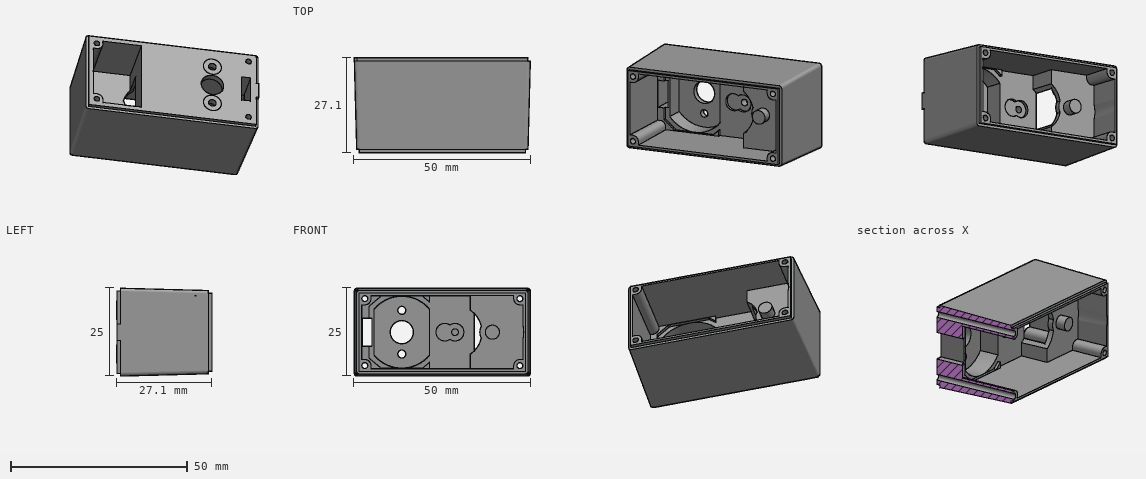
import cadquery as cq
import math

BACK_LENGTH = 50.0
BACK_HEIGHT = 25.0
BODY_DEPTH = 25.0
BODY_DRAFT = 1.5
EDGE_RADIUS = 0.9
SHRINK = BODY_DEPTH * math.tan(math.radians(BODY_DRAFT))
FRONT_LENGTH = BACK_LENGTH - 2 * SHRINK
FRONT_HEIGHT = BACK_HEIGHT - 2 * SHRINK

RIM_INSET = 0.75
RIM_DEPTH = 1.0
FRONT_Y = -RIM_DEPTH
BACK_Y = BODY_DEPTH + RIM_DEPTH
TAB_HEIGHT = 4.7

WALL = 1.4
CAVITY_DRAFT = 0.5
CAVITY_LENGTH = FRONT_LENGTH - 2 * WALL
CAVITY_HEIGHT = FRONT_HEIGHT - 2 * WALL
FLOOR_Y = 17.9

SCREW_X = 22.0
SCREW_Z = 9.5
SCREW_DIAMETER = 1.6
COLUMN_RADIUS = 1.75

PLATFORM_X = 7.95
PLATFORM_Y = 9.0
PLATFORM_THICKNESS = 1.6
PLATFORM_SIDE_WALL = 1.15
CHAMBER_X = PLATFORM_X + PLATFORM_SIDE_WALL
CHAMBER_END_X = 23.0
CHAMBER_HEIGHT = 21.0

POST_X = 14.2
POST_DIAMETER = 4.0
POST_HEIGHT = 3.0
POST_GEAR_RADIUS = 8.9
POST_HUB_RADIUS = 3.6

GEAR_X = 3.6
GEAR_RADIUS = 7.6
SEAT_DIAMETER = 5.0
SECOND_SEAT_X = 0.7
SEAT_DEPTH = 1.0
AXLE_DIAMETER = 1.9
AXLE_DEPTH = 3.0

MOTOR_X = -11.5
LEDGE_Y = 17.0
LEDGE_END_X = -3.6
OCTAGON_HALF_LENGTH = 9.3
OCTAGON_HALF_HEIGHT = 10.2
OCTAGON_CORNER_X = 3.4
OCTAGON_CORNER_Z = 2.85
MOTOR_RADIUS = 10.25
MOTOR_WIDTH = 2 * (LEDGE_END_X - MOTOR_X)
MOTOR_FLOOR_Y = 24.0
SHAFT_DIAMETER = 6.5
MOTOR_SCREW_DIAMETER = 2.2
MOTOR_SCREW_Z = 6.2
PAD_DIAMETER = 5.2
PAD_HEIGHT = 0.05

SLOT_X = -21.3
SLOT_LENGTH = 2.6
SLOT_HEIGHT = 7.9


def section_at(y):
    """Sketch plane facing +Y; local x is X and local y is -Z (the part is symmetric in Z)."""
    return cq.Workplane(cq.Plane(origin=(0, y, 0), xDir=(1, 0, 0), normal=(0, 1, 0)))


def block(x_start, x_end, height, y_start, y_end):
    """Box centred on Z = 0."""
    center = (x_start + x_end) / 2
    return section_at(y_start).center(center, 0).rect(x_end - x_start, height).extrude(y_end - y_start)


def cylinder(x, z, diameter, y_start, y_end):
    return section_at(y_start).center(x, -z).circle(diameter / 2).extrude(y_end - y_start)


def make_body():
    body = section_at(BODY_DEPTH).rect(BACK_LENGTH, BACK_HEIGHT).workplane(offset=-BODY_DEPTH)
    body = body.rect(FRONT_LENGTH, FRONT_HEIGHT).loft(ruled=True)
    body = body.edges("not #Y").fillet(EDGE_RADIUS)

    front_half = FRONT_LENGTH / 2 - RIM_INSET
    back_half = BACK_LENGTH / 2 - RIM_INSET
    front_rim = block(-front_half, front_half, FRONT_HEIGHT - 2 * RIM_INSET, FRONT_Y, 0)
    back_rim = block(-back_half, back_half, BACK_HEIGHT - 2 * RIM_INSET, BODY_DEPTH, BACK_Y)
    tab = block(-BACK_LENGTH / 2, 0, TAB_HEIGHT, BODY_DEPTH, BACK_Y)
    return body.union(front_rim).union(back_rim).union(tab)


def corner_columns():
    """Quarter-round columns that fill the cavity corners around the screw holes."""
    reach_x = BACK_LENGTH / 2 - SCREW_X
    reach_z = BACK_HEIGHT / 2 - SCREW_Z
    column = (
        section_at(FRONT_Y)
        .moveTo(SCREW_X - COLUMN_RADIUS, SCREW_Z + reach_z)
        .lineTo(SCREW_X - COLUMN_RADIUS, SCREW_Z)
        .radiusArc((SCREW_X, SCREW_Z - COLUMN_RADIUS), -COLUMN_RADIUS)
        .lineTo(SCREW_X + reach_x, SCREW_Z - COLUMN_RADIUS)
        .lineTo(SCREW_X + reach_x, SCREW_Z + reach_z)
        .close()
        .extrude(BACK_Y - FRONT_Y)
    )
    pair = column.union(column.mirror("YZ"))
    return pair.union(pair.mirror("XY"))


def make_platform():
    """Solid platform with its -X face drafted like the cavity walls."""
    root_x = PLATFORM_X - (FLOOR_Y - PLATFORM_Y) * math.tan(math.radians(CAVITY_DRAFT))
    outline = [
        (PLATFORM_X, PLATFORM_Y),
        (BACK_LENGTH / 2, PLATFORM_Y),
        (BACK_LENGTH / 2, FLOOR_Y),
        (root_x, FLOOR_Y),
    ]
    return cq.Workplane("XY").polyline(outline).close().extrude(BACK_HEIGHT / 2, both=True)


def make_ledge():
    """Floor step around the octagonal motor recess."""
    ledge = block(-BACK_LENGTH / 2, LEDGE_END_X, BACK_HEIGHT, LEDGE_Y, FLOOR_Y)
    inner_x = OCTAGON_HALF_LENGTH - OCTAGON_CORNER_X
    inner_z = OCTAGON_HALF_HEIGHT - OCTAGON_CORNER_Z
    octagon = [
        (-OCTAGON_HALF_LENGTH, -inner_z),
        (-inner_x, -OCTAGON_HALF_HEIGHT),
        (inner_x, -OCTAGON_HALF_HEIGHT),
        (OCTAGON_HALF_LENGTH, -inner_z),
        (OCTAGON_HALF_LENGTH, inner_z),
        (inner_x, OCTAGON_HALF_HEIGHT),
        (-inner_x, OCTAGON_HALF_HEIGHT),
        (-OCTAGON_HALF_LENGTH, inner_z),
    ]
    recess = section_at(LEDGE_Y).center(MOTOR_X, 0).polyline(octagon).close()
    recess = recess.extrude(FLOOR_Y - LEDGE_Y)
    return ledge.cut(recess)


def make_front_cavity(columns):
    cavity = section_at(FRONT_Y).rect(CAVITY_LENGTH, CAVITY_HEIGHT)
    cavity = cavity.extrude(FLOOR_Y - FRONT_Y, taper=CAVITY_DRAFT)
    groove = cylinder(POST_X, 0, 2 * POST_GEAR_RADIUS, FRONT_Y, PLATFORM_Y)
    return cavity.union(groove).cut(make_platform()).cut(make_ledge()).cut(columns)


def make_rear_chamber(columns):
    chamber_y = PLATFORM_Y + PLATFORM_THICKNESS
    return block(CHAMBER_X, CHAMBER_END_X, CHAMBER_HEIGHT, chamber_y, BACK_Y).cut(columns)


def make_gear_notch():
    """Clearance through the platform, leaving a round hub of material around the post."""
    notch = cylinder(GEAR_X, 0, 2 * GEAR_RADIUS, PLATFORM_Y, FLOOR_Y)
    return notch.cut(cylinder(POST_X, 0, 2 * POST_HUB_RADIUS, PLATFORM_Y, FLOOR_Y))


def make_gear_seat():
    seat = cylinder(GEAR_X, 0, SEAT_DIAMETER, FLOOR_Y, FLOOR_Y + SEAT_DEPTH)
    seat = seat.union(cylinder(SECOND_SEAT_X, 0, SEAT_DIAMETER, FLOOR_Y, FLOOR_Y + SEAT_DEPTH))
    return seat.union(cylinder(GEAR_X, 0, AXLE_DIAMETER, FLOOR_Y, FLOOR_Y + SEAT_DEPTH + AXLE_DEPTH))


def make_motor_recess():
    outline = section_at(FLOOR_Y).center(MOTOR_X, 0)
    width = outline.rect(MOTOR_WIDTH, BACK_HEIGHT).extrude(MOTOR_FLOOR_Y - FLOOR_Y, taper=CAVITY_DRAFT)
    disc = outline.circle(MOTOR_RADIUS).extrude(MOTOR_FLOOR_Y - FLOOR_Y, taper=CAVITY_DRAFT)
    return disc.intersect(width)


columns = corner_columns()
result = make_body()
result = result.cut(make_front_cavity(columns))
result = result.cut(make_rear_chamber(columns))
result = result.cut(make_gear_notch())
result = result.cut(make_gear_seat())
result = result.cut(make_motor_recess())
result = result.union(cylinder(POST_X, 0, POST_DIAMETER, PLATFORM_Y - POST_HEIGHT, PLATFORM_Y))

result = result.cut(cylinder(MOTOR_X, 0, SHAFT_DIAMETER, FLOOR_Y, BACK_Y))
for z in (-MOTOR_SCREW_Z, MOTOR_SCREW_Z):
    result = result.union(cylinder(MOTOR_X, z, PAD_DIAMETER, BACK_Y, BACK_Y + PAD_HEIGHT))
    result = result.cut(cylinder(MOTOR_X, z, MOTOR_SCREW_DIAMETER, FLOOR_Y, BACK_Y + PAD_HEIGHT))
slot_start = SLOT_X - SLOT_LENGTH / 2
result = result.cut(block(slot_start, slot_start + SLOT_LENGTH, SLOT_HEIGHT, LEDGE_Y, BACK_Y))

for x in (-SCREW_X, SCREW_X):
    for z in (-SCREW_Z, SCREW_Z):
        result = result.cut(cylinder(x, z, SCREW_DIAMETER, FRONT_Y, BACK_Y))